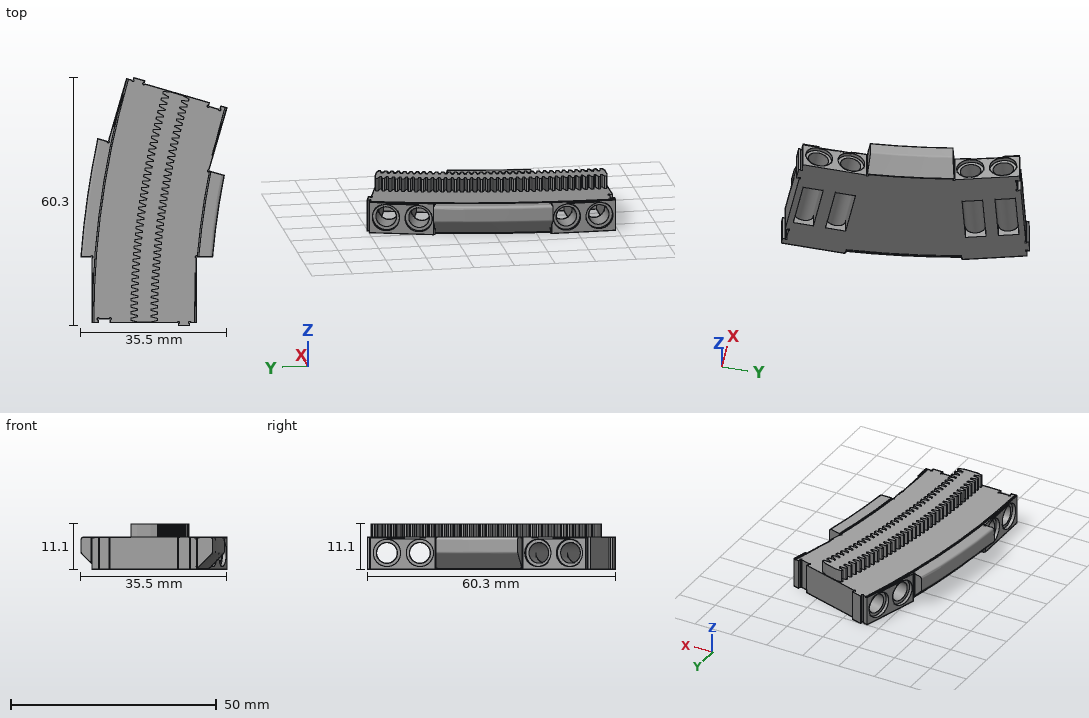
import cadquery as cq
import math

centre_radius = 200.0
bend_angle = 16.2

body_height = 7.85
body_half_width = 12.7
core_half_width = 12.25
block_length = 16.0

wing_half_width = 16.0
wing_lower_edge = 4.0
wing_fillet = 0.7

groove_width = 0.35
groove_depth = 0.2

hole_diameter = 5.0
counterbore_diameter = 6.6
counterbore_depth = 0.9
hole_height = wing_lower_edge
hole_pitch = 8.0
hole_positions = [hole_pitch / 2, hole_pitch * 3 / 2]
bore_depth = 7.0

step_width = 0.3
step_depth = 0.4

connector_offset = 9.7
tab_width = 2.8
tab_length = 0.7
tab_root = 0.6
socket_width = 2.9
socket_depth = 0.9
relief_radius = 0.25

rack_height = 3.2
teeth_per_side = 36
rack_root_half_width = 1.6
rack_tip_half_width = 3.25
tooth_tip_width = 0.5
tooth_gap_width = 0.3


def box(x_min, x_max, y_min, y_max, z_min, z_max):
    size = (x_max - x_min, y_max - y_min, z_max - z_min)
    return cq.Workplane("XY").box(*size, centered=False).translate((x_min, y_min, z_min))


def to_far_end(shape):
    """Mirror a shape of the near end about the middle of the bend."""
    return shape.mirror("XZ").rotate((centre_radius, 0, 0), (centre_radius, 0, 1), -bend_angle)


def at_both_ends(shape):
    return shape.union(to_far_end(shape))


def curved_middle():
    """Core and wings swept round the bend, cut off square where the end blocks begin."""
    core_corner = wing_lower_edge - (wing_half_width - core_half_width)
    right_side = [
        (core_half_width, 0),
        (core_half_width, core_corner),
        (wing_half_width, wing_lower_edge),
        (wing_half_width, body_height),
    ]
    left_side = [(-x, z) for x, z in reversed(right_side)]
    profile = (
        cq.Sketch()
        .polygon(right_side + left_side + right_side[:1])
        .vertices(">X or <X")
        .fillet(wing_fillet)
    )
    swept = (
        cq.Workplane("XZ")
        .placeSketch(profile)
        .revolve(bend_angle, (centre_radius, 0, 0), (centre_radius, -1, 0))
    )
    reach = 2 * wing_half_width
    end_zone = box(-reach, reach, -block_length, block_length, 0, body_height)
    return swept.cut(end_zone).cut(to_far_end(end_zone))


def pin_hole(y):
    """Bore through the block, counterbored on both sides, arched and open below in the middle."""

    def cylinder(diameter, x_start, length):
        return (
            cq.Workplane("YZ", origin=(x_start, y, hole_height)).circle(diameter / 2).extrude(length)
        )

    hole = cylinder(hole_diameter, -body_half_width, 2 * body_half_width)
    for x_start in (-body_half_width, body_half_width - counterbore_depth):
        hole = hole.union(cylinder(counterbore_diameter, x_start, counterbore_depth))
    slot_end = body_half_width - bore_depth
    hole_radius = hole_diameter / 2
    return hole.union(box(-slot_end, slot_end, y - hole_radius, y + hole_radius, 0, hole_height))


def end_block(tab_side):
    """Straight block at the near end; tab_side is +1 for the tab at +X and -1 for it at -X."""
    block = box(-body_half_width, body_half_width, 0, block_length, 0, body_height)

    tab_x = tab_side * connector_offset
    tab_half = tab_width / 2
    block = block.union(box(tab_x - tab_half, tab_x + tab_half, -tab_length, tab_root, 0, body_height))
    socket_half = socket_width / 2
    block = block.cut(
        box(-tab_x - socket_half, -tab_x + socket_half, 0, socket_depth, 0, body_height)
    )
    corners = [(tab_x + side * tab_half, 0) for side in (-1, 1)]
    corners += [(-tab_x + side * socket_half, socket_depth) for side in (-1, 1)]
    block = block.cut(corner_reliefs(corners))

    for y in hole_positions:
        block = block.cut(pin_hole(y))

    step_inner = body_half_width - step_width
    for x_min, x_max in ((-body_half_width, -step_inner), (step_inner, body_half_width)):
        block = block.cut(box(x_min, x_max, *hole_positions, body_height - step_depth, body_height))
    return block


def corner_reliefs(points):
    return cq.Workplane("XY").pushPoints(points).circle(relief_radius).extrude(body_height)


def edge_groove(inner_radius):
    return (
        cq.Workplane("XY", origin=(centre_radius, 0, body_height - groove_depth))
        .circle(inner_radius + groove_width)
        .circle(inner_radius)
        .extrude(groove_depth)
    )


def rack():
    """Straight-flanked teeth on both sides of a curved bar; the bar starts and ends at a tooth flank."""
    tooth_angle = math.radians(bend_angle) / teeth_per_side

    def at(offset, angle):
        radius = centre_radius + offset
        return (centre_radius - radius * math.cos(angle), radius * math.sin(angle))

    def toothed_edge(side):
        root = centre_radius + side * rack_root_half_width
        tip = centre_radius + side * rack_tip_half_width
        half_gap = tooth_gap_width / 2 / root
        half_tip = tooth_tip_width / 2 / tip
        edge = []
        for tooth in range(teeth_per_side):
            start = tooth * tooth_angle
            middle = start + tooth_angle / 2
            edge += [
                at(side * rack_root_half_width, start + half_gap),
                at(side * rack_tip_half_width, middle - half_tip),
                at(side * rack_tip_half_width, middle + half_tip),
                at(side * rack_root_half_width, start + tooth_angle - half_gap),
            ]
        return edge

    outline = toothed_edge(1) + toothed_edge(-1)[::-1]
    return (
        cq.Workplane("XY", origin=(0, 0, body_height)).polyline(outline).close().extrude(rack_height)
    )


result = curved_middle().union(end_block(1)).union(to_far_end(end_block(-1)))

wing_corners = [(-body_half_width, block_length), (body_half_width, block_length)]
result = result.cut(at_both_ends(corner_reliefs(wing_corners)))

for inner_edge in (core_half_width, -core_half_width - groove_width):
    result = result.cut(edge_groove(centre_radius + inner_edge))

result = result.union(rack())